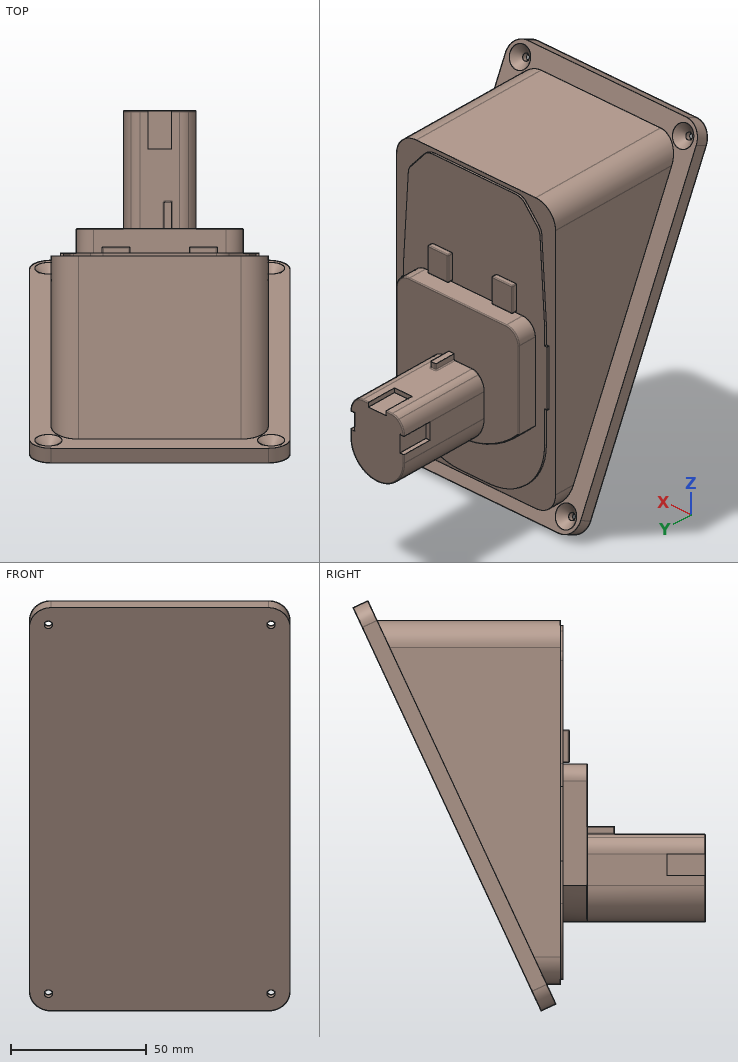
import cadquery as cq
import math


housing_width = 80.0
housing_height = 134.0
housing_corner_radius = 10.0
housing_bottom_depth = 5.0
slope_angle = math.radians(25.0)
slope_rise = housing_height * math.tan(slope_angle)

plate_margin = 8.0
plate_width = housing_width + 2 * plate_margin
plate_length = housing_height / math.cos(slope_angle) + 2 * plate_margin
plate_thickness = 6.0
plate_corner_radius = 8.0
screw_edge_distance = 7.0
screw_hole_diameter = 3.0
countersink_diameter = 10.0
countersink_depth = 3.5

gasket_thickness = 1.0
gasket_inset = 1.8
gasket_bottom = gasket_inset
gasket_top = housing_height - gasket_inset
gasket_half_width = 35.4
gasket_bottom_radius = 28.0
gasket_taper_start = 81.4
gasket_shoulder_half_width = 33.0
gasket_shoulder_height = 121.2
gasket_top_half_width = 23.7
gasket_top_radius = 6.0
ear_half_width = 36.6
ear_bottom = 45.5
ear_top = 72.8

connector_axis_height = 36.4
connector_half_width = 13.4
connector_length = 43.43
connector_side_height = 11.6
shoulder_upper_radius = 5.0
shoulder_lower_radius = 8.0
shoulder_meeting_angle = math.radians(40.0)
recess_length = 14.1
recess_depth = 2.0
top_recess_width = 8.8
side_recess_height = 7.9

flange_thickness = 9.0
flange_half_width = 30.75
flange_top_height = 44.8
flange_corner_radius = 6.4

rib_offset = 3.0
rib_width = 2.7
rib_height = 2.8
rib_length = 9.9
pad_width = 10.2
pad_spacing = 32.2
pad_height = 12.0
pad_top = 93.7
pad_thickness = 2.3
small_edge_radius = 0.4

flange_start = gasket_thickness
connector_start = flange_start + flange_thickness
connector_end = connector_start + connector_length

upper_arc_centre_x = (
    connector_half_width
    - shoulder_lower_radius
    + (shoulder_lower_radius - shoulder_upper_radius) * math.sin(shoulder_meeting_angle)
)
upper_arc_centre_height = (
    connector_side_height
    + (shoulder_lower_radius - shoulder_upper_radius) * math.cos(shoulder_meeting_angle)
)
connector_top_height = upper_arc_centre_height + shoulder_upper_radius
connector_top = connector_axis_height + connector_top_height


def upright_plane(y, z=0.0):
    """Sketch plane at one Y, in which sketch x is X and sketch y is Z."""
    return cq.Workplane("XZ", origin=(0, y, z))


def extrude_back(sketch, length):
    """Extrude an upright sketch toward +Y."""
    return sketch.extrude(-length)


def make_plate_plane():
    """Plane of the plate's inner face, with its normal pointing out of the part."""
    middle_depth = housing_bottom_depth + slope_rise / 2
    return cq.Plane(
        origin=(0, -middle_depth, housing_height / 2),
        xDir=(1, 0, 0),
        normal=(0, -math.cos(slope_angle), -math.sin(slope_angle)),
    )


def make_housing(plate_plane):
    full_depth = housing_bottom_depth + slope_rise
    block = (
        upright_plane(0, housing_height / 2)
        .rect(housing_width, housing_height)
        .extrude(full_depth)
        .edges("|Y")
        .fillet(housing_corner_radius)
    )
    beyond_slope = cq.Workplane(plate_plane).rect(2 * plate_width, 2 * plate_length).extrude(full_depth)
    return block.cut(beyond_slope)


def make_plate(plate_plane):
    plate = (
        cq.Workplane(plate_plane)
        .rect(plate_width, plate_length)
        .extrude(plate_thickness)
        .edges(cq.selectors.ParallelDirSelector(plate_plane.zDir))
        .fillet(plate_corner_radius)
    )
    half_x = plate_width / 2 - screw_edge_distance
    half_y = plate_length / 2 - screw_edge_distance
    for x in (-half_x, half_x):
        for y in (-half_y, half_y):
            hole = cq.Workplane(plate_plane).center(x, y).circle(screw_hole_diameter / 2)
            countersink = cq.Solid.makeCone(
                countersink_diameter / 2,
                screw_hole_diameter / 2,
                countersink_depth,
                plate_plane.toWorldCoords((x, y)),
                plate_plane.zDir,
            )
            plate = plate.cut(hole.extrude(plate_thickness)).cut(cq.Workplane(countersink))
    return plate


def make_gasket():
    right_side = [
        (gasket_half_width, gasket_bottom),
        (gasket_half_width, gasket_taper_start),
        (gasket_shoulder_half_width, gasket_shoulder_height),
        (gasket_top_half_width, gasket_top),
    ]
    left_side = [(-x, z) for x, z in reversed(right_side)]
    sheet = extrude_back(upright_plane(0).polyline(right_side + left_side).close(), gasket_thickness)
    sheet = sheet.edges("|Y").edges("<Z").fillet(gasket_bottom_radius)
    upper_corners = cq.selectors.BoxSelector(
        (-housing_width, -gasket_thickness, (gasket_taper_start + gasket_shoulder_height) / 2),
        (housing_width, 2 * gasket_thickness, housing_height),
    )
    sheet = sheet.edges("|Y").edges(upper_corners).fillet(gasket_top_radius)
    ears = extrude_back(
        upright_plane(0, (ear_bottom + ear_top) / 2).rect(2 * ear_half_width, ear_top - ear_bottom),
        gasket_thickness,
    )
    return sheet.union(ears)


def make_flange():
    """Block with rounded upper corners and a shallow arc underneath."""
    block = extrude_back(
        upright_plane(flange_start, connector_axis_height)
        .moveTo(-flange_half_width, 0)
        .threePointArc((0, -connector_half_width), (flange_half_width, 0))
        .lineTo(flange_half_width, flange_top_height)
        .lineTo(-flange_half_width, flange_top_height)
        .close(),
        flange_thickness,
    )
    block = block.edges("|Y").edges(">Z").fillet(flange_corner_radius)
    return block.faces(">Y").edges().fillet(small_edge_radius)


def shoulder_point(angle):
    """Point of the right shoulder whose tangent lies at the given angle below horizontal."""
    if angle <= shoulder_meeting_angle:
        radius = shoulder_upper_radius
        x, z = upper_arc_centre_x, upper_arc_centre_height
    else:
        radius = shoulder_lower_radius
        x, z = connector_half_width - shoulder_lower_radius, connector_side_height
    return (x + radius * math.sin(angle), z + radius * math.cos(angle))


def mirrored(point):
    return (-point[0], point[1])


def make_connector():
    """Plug body with a half-round underside and compound-radius upper shoulders."""
    flat_end = shoulder_point(0)
    upper_middle = shoulder_point(shoulder_meeting_angle / 2)
    meeting = shoulder_point(shoulder_meeting_angle)
    lower_middle = shoulder_point((shoulder_meeting_angle + math.pi / 2) / 2)
    side_end = shoulder_point(math.pi / 2)
    body = extrude_back(
        upright_plane(connector_start, connector_axis_height)
        .moveTo(-connector_half_width, 0)
        .threePointArc((0, -connector_half_width), (connector_half_width, 0))
        .lineTo(*side_end)
        .threePointArc(lower_middle, meeting)
        .threePointArc(upper_middle, flat_end)
        .lineTo(*mirrored(flat_end))
        .threePointArc(mirrored(upper_middle), mirrored(meeting))
        .threePointArc(mirrored(lower_middle), mirrored(side_end))
        .close(),
        connector_length,
    )
    body = body.faces(">Y").edges().fillet(small_edge_radius)
    return add_rib(body.cut(make_connector_recesses()))


def make_connector_recesses():
    """Shallow pockets at the connector's end, one in the top and one in each side."""
    start = connector_end - recess_length
    recesses = extrude_back(
        upright_plane(start, connector_top).rect(top_recess_width, 2 * recess_depth),
        recess_length,
    )
    side_centre_height = connector_axis_height + connector_side_height - side_recess_height / 2
    for x in (-connector_half_width, connector_half_width):
        side_recess = upright_plane(start, side_centre_height).center(x, 0)
        recesses = recesses.union(
            extrude_back(side_recess.rect(2 * recess_depth, side_recess_height), recess_length)
        )
    return recesses


def add_rib(connector):
    """Join the locating rib to the connector's flat top, blended along its foot."""
    rib = extrude_back(
        upright_plane(connector_start, connector_top).center(rib_offset, 0).rect(rib_width, 2 * rib_height),
        rib_length,
    )
    rib = rib.faces(">Y").edges("|Z").fillet(small_edge_radius)
    foot = cq.selectors.BoxSelector(
        (rib_offset - rib_width, connector_start + small_edge_radius, connector_top - small_edge_radius),
        (rib_offset + rib_width, connector_start + 2 * rib_length, connector_top + small_edge_radius),
    )
    return connector.union(rib).edges(foot).fillet(small_edge_radius)


def make_pads():
    pad = extrude_back(
        upright_plane(gasket_thickness, pad_top - pad_height / 2).rect(pad_width, pad_height),
        pad_thickness,
    )
    pad = pad.edges("|Y").fillet(small_edge_radius)
    pad = pad.faces(">Y").edges().fillet(small_edge_radius)
    half_spacing = pad_spacing / 2
    return pad.translate((-half_spacing, 0, 0)).union(pad.translate((half_spacing, 0, 0)))


plate_plane = make_plate_plane()
result = (
    make_housing(plate_plane)
    .union(make_plate(plate_plane))
    .union(make_gasket())
    .union(make_flange())
    .union(make_connector())
    .union(make_pads())
)